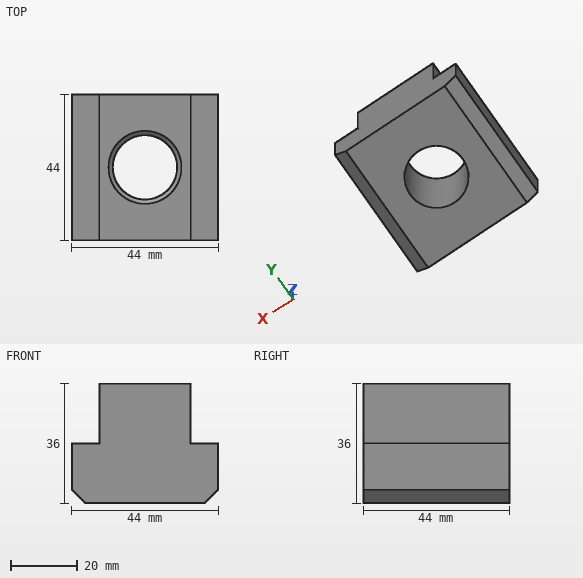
import cadquery as cq

width = 44.0
length = 44.0
height = 36.0

neck_width = 27.5
base_height = height / 2
base_chamfer = 4.0

hole_diameter = 19.3
countersink_diameter = 22.0
countersink_angle = 90.0


def t_block():
    """T profile in XZ, extruded along Y and centred on the Z axis."""
    half_width = width / 2
    half_neck = neck_width / 2
    right_half = [
        (0, 0),
        (half_width - base_chamfer, 0),
        (half_width, base_chamfer),
        (half_width, base_height),
        (half_neck, base_height),
        (half_neck, height),
        (0, height),
    ]
    return cq.Workplane("XZ").polyline(right_half).mirrorY().extrude(length / 2, both=True)


result = (
    t_block()
    .faces(">Z")
    .workplane(origin=(0, 0, height))
    .cskHole(hole_diameter, countersink_diameter, countersink_angle)
)